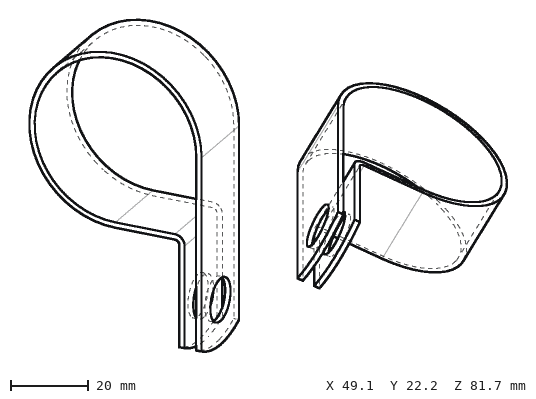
import cadquery as cq
import math

total_height = 81.7
strap_width = 22.2
loop_radius = 24.55
thickness = 1.55

leg_gap = 3.3
bend_inner_radius = 1.2
end_radius = 25.3

hole_diameter = 11.9
hole_height = 12.7

bore_radius = loop_radius - thickness
bottom_z = loop_radius - total_height
inner_leg_right = bore_radius - leg_gap
inner_leg_left = inner_leg_right - thickness
bend_outer_radius = bend_inner_radius + thickness
bend_x = inner_leg_left - bend_inner_radius
bend_z = -loop_radius - bend_inner_radius
diagonal = math.sqrt(0.5)


def make_strap():
    """Bent strip: long leg, three-quarter loop, flat shelf and short leg."""
    profile = (
        cq.Workplane("XZ")
        .moveTo(loop_radius, bottom_z)
        .lineTo(loop_radius, 0)
        .threePointArc((-loop_radius * diagonal, loop_radius * diagonal), (0, -loop_radius))
        .lineTo(bend_x, -loop_radius)
        .threePointArc(
            (bend_x + bend_inner_radius * diagonal, bend_z + bend_inner_radius * diagonal),
            (inner_leg_left, bend_z),
        )
        .lineTo(inner_leg_left, bottom_z)
        .lineTo(inner_leg_right, bottom_z)
        .lineTo(inner_leg_right, bend_z)
        .threePointArc(
            (bend_x + bend_outer_radius * diagonal, bend_z + bend_outer_radius * diagonal),
            (bend_x, -bore_radius),
        )
        .lineTo(0, -bore_radius)
        .threePointArc((-bore_radius * diagonal, bore_radius * diagonal), (bore_radius, 0))
        .lineTo(bore_radius, bottom_z)
        .close()
    )
    return profile.extrude(strap_width / 2, both=True)


def make_end_envelope():
    """Block around the strap whose underside is the rounded leg end."""
    half_width = strap_width / 2
    arc_rise = end_radius - math.sqrt(end_radius**2 - half_width**2)
    return (
        cq.Workplane("YZ")
        .moveTo(-half_width, loop_radius)
        .lineTo(-half_width, bottom_z + arc_rise)
        .threePointArc((0, bottom_z), (half_width, bottom_z + arc_rise))
        .lineTo(half_width, loop_radius)
        .close()
        .extrude(loop_radius, both=True)
    )


def make_bolt_hole():
    """Cylinder along X that passes through both legs."""
    return (
        cq.Workplane("YZ")
        .center(0, bottom_z + hole_height)
        .circle(hole_diameter / 2)
        .extrude(loop_radius, both=True)
    )


result = make_strap().intersect(make_end_envelope()).cut(make_bolt_hole())